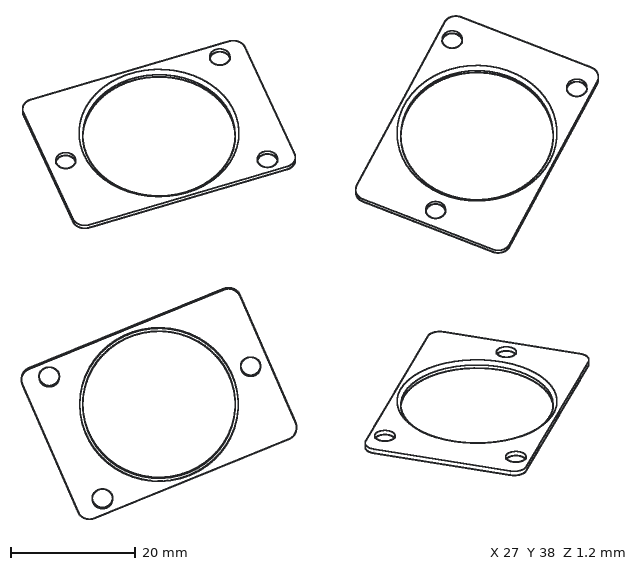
import cadquery as cq

width = 27.0
length = 38.0
plate_thickness = 0.8
corner_radius = 2.0

lip_height = 0.4
lip_diameter = 25.5
bore_diameter = 24.5
bore_chamfer = 0.6

upper_hole_diameter = 3.25
lower_hole_diameter = 3.2
upper_hole_x = 11.02
upper_hole_y = 14.5
lower_hole_y = -16.0


def make_plate():
    """Rounded plate with its underside on Z = 0."""
    plate = cq.Workplane("XY").rect(width, length).extrude(plate_thickness)
    return plate.edges("|Z").fillet(corner_radius)


def make_lip():
    """Disc hanging below the plate."""
    return cq.Workplane("XY").circle(lip_diameter / 2).extrude(-lip_height)


def make_bore():
    """Straight bore through the full height, with a 45 degree chamfer at the top rim."""
    straight = (
        cq.Workplane("XY").workplane(offset=-lip_height)
        .circle(bore_diameter / 2).extrude(lip_height + plate_thickness)
    )
    cone = (
        cq.Workplane("XY").workplane(offset=plate_thickness - bore_chamfer)
        .circle(bore_diameter / 2)
        .workplane(offset=bore_chamfer)
        .circle(bore_diameter / 2 + bore_chamfer).loft()
    )
    return straight.union(cone)


def make_mounting_holes():
    """Two holes at the +Y end and one on the centre line at the -Y end."""
    upper = (
        cq.Workplane("XY")
        .pushPoints([(-upper_hole_x, upper_hole_y), (upper_hole_x, upper_hole_y)])
        .circle(upper_hole_diameter / 2).extrude(plate_thickness)
    )
    lower = (
        cq.Workplane("XY").center(0, lower_hole_y)
        .circle(lower_hole_diameter / 2).extrude(plate_thickness)
    )
    return upper.union(lower)


result = make_plate().union(make_lip()).cut(make_bore()).cut(make_mounting_holes())